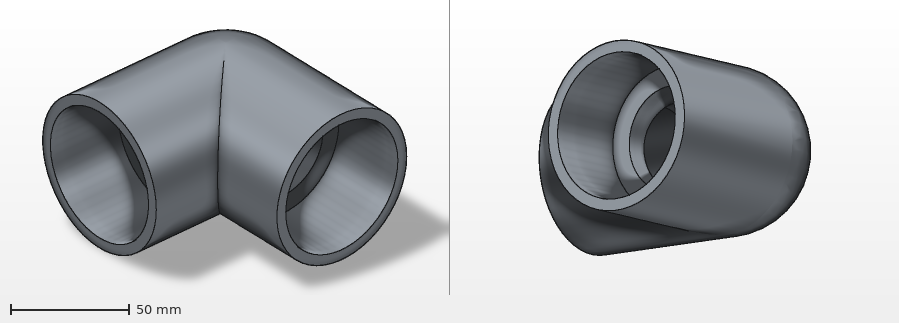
import cadquery as cq

outer_diameter = 73.0
socket_diameter = 63.0
bore_diameter = 45.33
bend_radius = 1.25 * bore_diameter / 2
x_arm_length = 74.5
y_arm_length = 71.0
socket_depth = 38.0


def cylinder_along_x(diameter, start, end):
    """Cylinder on the X axis between two X positions."""
    return cq.Workplane("YZ", origin=(start, 0, 0)).circle(diameter / 2).extrude(end - start)


def cylinder_along_y(diameter, start, end):
    """Cylinder on the -Y axis between two distances from the corner."""
    return cq.Workplane("XZ", origin=(0, -start, 0)).circle(diameter / 2).extrude(end - start)


def outer_body():
    """Two round arms mitred together, with a ball closing the outside corner."""
    x_arm = cylinder_along_x(outer_diameter, 0, x_arm_length)
    y_arm = cylinder_along_y(outer_diameter, 0, y_arm_length)
    ball = cq.Workplane("XY").sphere(outer_diameter / 2)
    return x_arm.union(y_arm).union(ball)


def curved_bore():
    """Quarter-turn bend, carried straight on along each arm to its mouth."""
    bend = (
        cq.Workplane("XZ", origin=(0, -bend_radius, 0))
        .circle(bore_diameter / 2)
        .revolve(90, (bend_radius, 0, 0), (bend_radius, -1, 0))
    )
    x_bore = cylinder_along_x(bore_diameter, bend_radius, x_arm_length)
    y_bore = cylinder_along_y(bore_diameter, bend_radius, y_arm_length)
    return bend.union(x_bore).union(y_bore)


def sockets():
    """Pipe sockets at both mouths, each ending at a flat shoulder."""
    x_socket = cylinder_along_x(socket_diameter, x_arm_length - socket_depth, x_arm_length)
    y_socket = cylinder_along_y(socket_diameter, y_arm_length - socket_depth, y_arm_length)
    return x_socket.union(y_socket)


result = outer_body().cut(curved_bore()).cut(sockets())